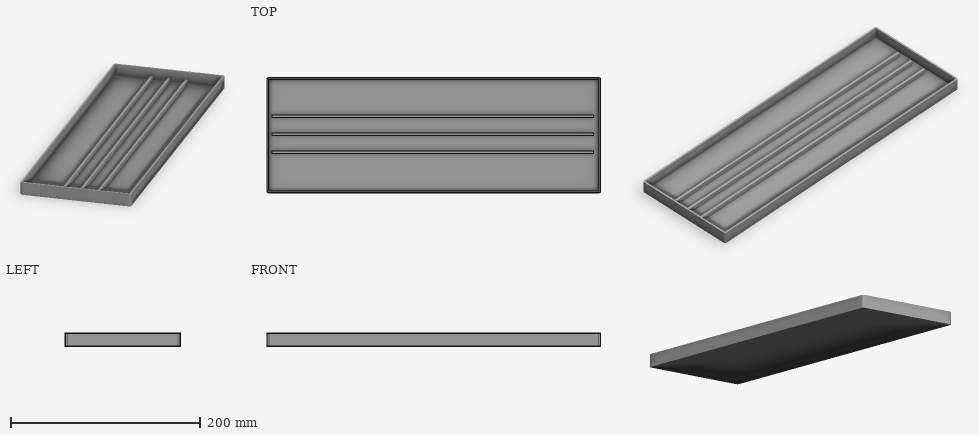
import cadquery as cq

tray_length = 353.0
tray_width = 122.0
tray_height = 14.0
wall_thickness = 2.0
floor_thickness = 1.0
outer_corner_radius = 2.5

rib_count = 3
rib_length = 340.0
rib_width = 2.6
rib_height = 5.7
rib_pitch = 19.05
rib_center_x = -1.0
middle_rib_y = 1.25


def make_tray():
    block = (
        cq.Workplane("XY")
        .box(tray_length, tray_width, tray_height, centered=(True, True, False))
        .edges("|Z")
        .fillet(outer_corner_radius)
    )
    cavity = (
        cq.Workplane("XY")
        .workplane(offset=floor_thickness)
        .rect(tray_length - 2 * wall_thickness, tray_width - 2 * wall_thickness)
        .extrude(tray_height - floor_thickness)
    )
    return block.cut(cavity)


def make_rib(center_y):
    return (
        cq.Workplane("XY")
        .box(rib_length, rib_width, rib_height, centered=(True, True, False))
        .translate((rib_center_x, center_y, floor_thickness))
    )


tray = make_tray()

ribs = []
for index in range(rib_count):
    steps_from_middle = index - (rib_count - 1) / 2
    ribs.append(make_rib(middle_rib_y + steps_from_middle * rib_pitch))

result = cq.Compound.makeCompound([tray.val(), *[rib.val() for rib in ribs]])